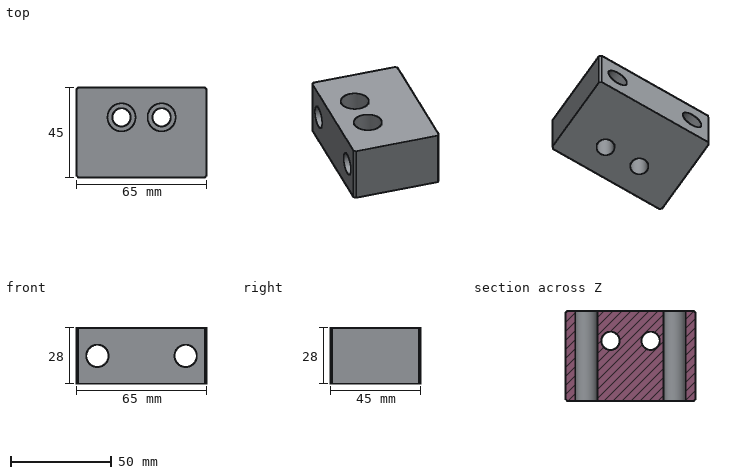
import cadquery as cq

LENGTH = 65.0
WIDTH = 45.0
HEIGHT = 28.0
CORNER_CHAMFER = 1.0

CROSS_HOLE_DIAMETER = 11.0
CROSS_HOLE_SPACING = 44.0

BOLT_HOLE_DIAMETER = 9.0
BOLT_HOLE_SPACING = 20.0
BOLT_HOLE_FROM_BACK = 15.0
COUNTERBORE_DIAMETER = 14.0
COUNTERBORE_DEPTH = 11.0


def make_block():
    """Block centred on the origin, with its four vertical edges chamfered."""
    block = cq.Workplane("XY").box(LENGTH, WIDTH, HEIGHT)
    return block.edges("|Z").chamfer(CORNER_CHAMFER)


def drill_cross_holes(body):
    """Pair of horizontal holes from the front face to the back face."""
    half_spacing = CROSS_HOLE_SPACING / 2
    return (
        body.faces("<Y")
        .workplane(centerOption="CenterOfBoundBox")
        .pushPoints([(-half_spacing, 0), (half_spacing, 0)])
        .hole(CROSS_HOLE_DIAMETER)
    )


def drill_bolt_holes(body):
    """Pair of vertical through holes, counterbored from the top face."""
    half_spacing = BOLT_HOLE_SPACING / 2
    hole_y = WIDTH / 2 - BOLT_HOLE_FROM_BACK
    return (
        body.faces(">Z")
        .workplane(centerOption="CenterOfBoundBox")
        .pushPoints([(-half_spacing, hole_y), (half_spacing, hole_y)])
        .cboreHole(BOLT_HOLE_DIAMETER, COUNTERBORE_DIAMETER, COUNTERBORE_DEPTH)
    )


result = drill_bolt_holes(drill_cross_holes(make_block()))